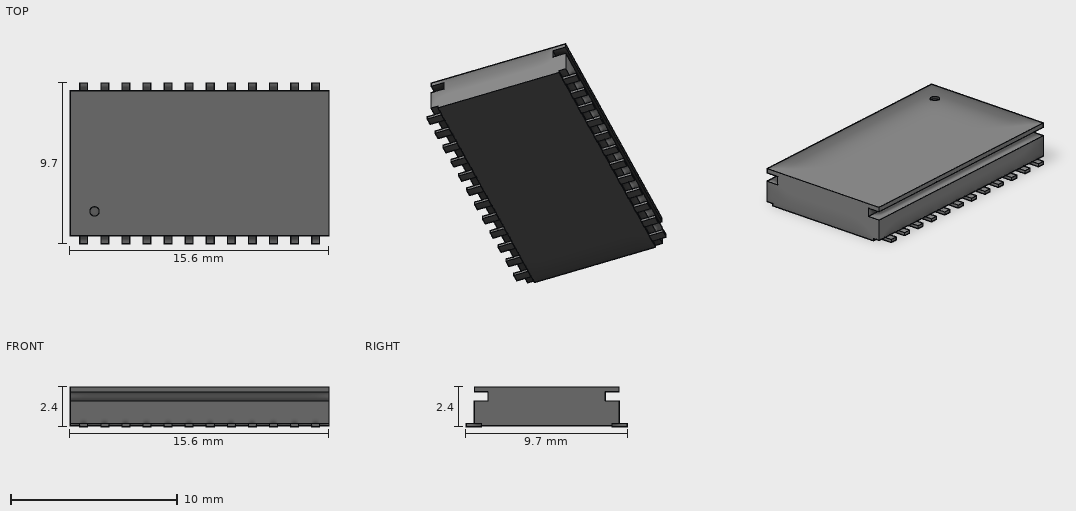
import cadquery as cq

body_length = 15.6
overall_width = 9.7
overall_height = 2.4

body_width = 8.75
top_plate_width = 8.72
top_plate_thickness = 0.3

groove_height = 0.55
neck_width = 7.08

base_width = 7.86
base_standoff = 0.05

leads_per_side = 12
lead_pitch = 1.27
lead_width = 0.48
lead_thickness = 0.2

mark_diameter = 0.56
mark_depth = 0.15
mark_edge_distance = 1.47


def make_body():
    """Extrude the YZ half section along X and mirror it to the other side."""
    groove_top = overall_height - top_plate_thickness
    groove_floor = groove_top - groove_height
    half_section = [
        (0, base_standoff),
        (base_width / 2, base_standoff),
        (base_width / 2, lead_thickness),
        (body_width / 2, lead_thickness),
        (body_width / 2, groove_floor),
        (neck_width / 2, groove_floor),
        (neck_width / 2, groove_top),
        (top_plate_width / 2, groove_top),
        (top_plate_width / 2, overall_height),
        (0, overall_height),
    ]
    half_body = cq.Workplane("YZ").polyline(half_section).close().extrude(body_length / 2, both=True)
    return half_body.union(half_body.mirror("XZ")).clean()


def make_leads():
    """Two rows of flat leads, under the body and against the sides of the base."""
    lead_length = (overall_width - base_width) / 2
    row_spacing = overall_width - lead_length
    return (
        cq.Workplane("XY")
        .rarray(lead_pitch, row_spacing, leads_per_side, 2)
        .rect(lead_width, lead_length)
        .extrude(lead_thickness)
    )


def make_mark():
    """Cutter for the dimple near the -X, -Y corner of the top plate."""
    mark_x = mark_edge_distance - body_length / 2
    mark_y = mark_edge_distance - top_plate_width / 2
    return (
        cq.Workplane("XY", origin=(mark_x, mark_y, overall_height - mark_depth))
        .circle(mark_diameter / 2)
        .extrude(mark_depth)
    )


result = make_body().union(make_leads()).cut(make_mark())